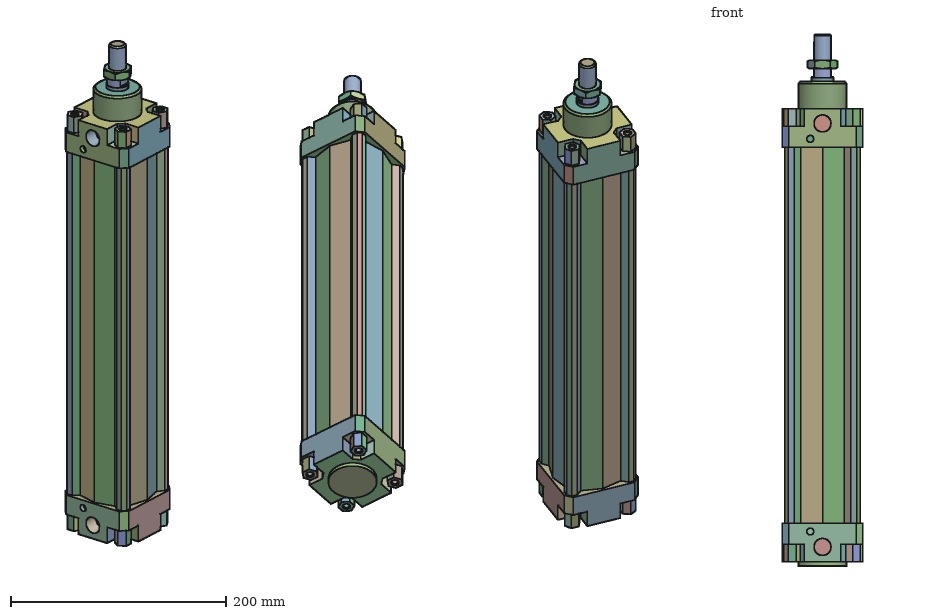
import cadquery as cq
import math

spigot_length = 4.0
cap_length = 36.0
tube_length = 349.0
collar_length = 25.0
rod_reach = 37.0
thread_length = 32.0

cap_width = 75.0
cap_chamfer = 6.5
collar_diameter = 45.0
collar_chamfer = 2.0
lip_diameter = 20.7
lip_height = 3.5

tube_half_width = 35.0
tube_chamfer = 3.5
groove_depth = 5.0
groove_bottom = 20.5
groove_rim = 26.0

notch_depth = 16.5
notch_inner = 17.0
notch_chamfer = 5.5
tie_offset = 28.0
tie_nut_flats = 13.5
tie_hole_diameter = 5.5
tie_sink_diameter = 7.5
tie_sink_angle = 90
tie_hole_depth = 10.0

port_diameter = 16.0
port_inset = 14.0
port_depth = 15.0
screw_diameter = 6.5
screw_inset = 28.0
screw_offset = 11.5
screw_depth = 5.0

rod_diameter = 20.0
rod_flats = 16.0
rod_flats_length = 7.5
thread_diameter = 16.0
thread_chamfer = 1.5
nut_flats = 24.0
nut_height = 8.0
nut_chamfer_angle = 30

tube_bottom = spigot_length + cap_length
tube_top = tube_bottom + tube_length
front_face = tube_top + cap_length
collar_top = front_face + collar_length
lip_top = collar_top + lip_height
shoulder = front_face + rod_reach
rod_bottom = tube_top


def hexagon_corners(flats):
    """Diameter across the corners of a hexagon, from its width across flats."""
    return flats / math.cos(math.radians(30))


def disc(diameter, bottom, height):
    """Round solid on the cylinder axis."""
    return cq.Workplane("XY").workplane(offset=bottom).circle(diameter / 2).extrude(height)


def tube():
    """Tube with a shallow V ridge in the middle of each side and a rib at each corner."""
    h = tube_half_width
    side = [
        (0, -h),
        (groove_bottom, -h + groove_depth),
        (groove_rim, -h),
        (h - tube_chamfer, -h),
        (h, -h + tube_chamfer),
        (h, -groove_rim),
        (h - groove_depth, -groove_bottom),
    ]
    points = []
    for _ in range(4):
        points += side
        side = [(-y, x) for x, y in side]
    return cq.Workplane("XY").workplane(offset=tube_bottom).polyline(points).close().extrude(tube_length)


def notch():
    """Corner notch of the front cap at +X +Y, open to the outside."""
    size = cap_width / 2 - notch_inner
    centre = notch_inner + size / 2
    return (
        cq.Workplane("XY")
        .workplane(offset=front_face - notch_depth)
        .center(centre, centre)
        .rect(size, size)
        .extrude(notch_depth)
        .edges("|Z and <X and <Y")
        .chamfer(notch_chamfer)
    )


def tie_nut():
    """Hexagonal nut with a countersunk blind hole, standing in the notch at +X +Y."""
    return (
        cq.Workplane("XY")
        .workplane(offset=front_face - notch_depth)
        .center(tie_offset, tie_offset)
        .polygon(6, hexagon_corners(tie_nut_flats))
        .extrude(notch_depth)
        .faces(">Z")
        .workplane()
        .cskHole(tie_hole_diameter, tie_sink_diameter, tie_sink_angle, tie_hole_depth)
    )


def side_hole(x, inset, diameter, depth):
    """Blind hole into the -Y side of the front cap."""
    return (
        cq.Workplane("XZ", origin=(0, -cap_width / 2, 0))
        .center(x, front_face - inset)
        .circle(diameter / 2)
        .extrude(-depth)
    )


def front_cap():
    """Chamfered square cap with notches, tie-rod nuts, an air port and a screw hole."""
    cap = (
        cq.Workplane("XY")
        .workplane(offset=tube_top)
        .rect(cap_width, cap_width)
        .extrude(cap_length)
        .edges("|Z")
        .chamfer(cap_chamfer)
    )
    for turn in range(4):
        angle = 90 * turn
        cap = cap.cut(notch().rotate((0, 0, 0), (0, 0, 1), angle))
        cap = cap.union(tie_nut().rotate((0, 0, 0), (0, 0, 1), angle))
    cap = cap.cut(side_hole(0, port_inset, port_diameter, port_depth))
    return cap.cut(side_hole(-screw_offset, screw_inset, screw_diameter, screw_depth))


def make_housing():
    """Tube, two mirrored caps, the front collar and lip with the rod bore, and the rear spigot."""
    middle = (tube_bottom + tube_top) / 2
    cap = front_cap()
    collar = disc(collar_diameter, front_face, collar_length).faces(">Z").chamfer(collar_chamfer)
    lip = disc(lip_diameter, collar_top, lip_height)
    spigot = disc(collar_diameter, 0, spigot_length)
    body = tube().union(cap).union(cap.mirror("XY", (0, 0, middle))).union(collar).union(spigot)
    return body.union(lip).cut(disc(rod_diameter, rod_bottom, lip_top - rod_bottom))


def make_rod():
    """Round rod with two wrench flats below the thread shoulder and a plain threaded end."""
    flats_bottom = shoulder - rod_flats_length
    round_part = disc(rod_diameter, rod_bottom, flats_bottom - rod_bottom)
    flat_part = disc(rod_diameter, flats_bottom, rod_flats_length).intersect(
        cq.Workplane("XY")
        .workplane(offset=flats_bottom)
        .rect(rod_flats, rod_diameter)
        .extrude(rod_flats_length)
    )
    thread = disc(thread_diameter, shoulder, thread_length).faces(">Z").chamfer(thread_chamfer)
    return round_part.union(flat_part).union(thread)


def make_nut():
    """Hexagonal lock nut against the shoulder, its corners bevelled at both ends."""
    corner_radius = hexagon_corners(nut_flats) / 2
    face_radius = nut_flats / 2
    bevel = (corner_radius - face_radius) * math.tan(math.radians(nut_chamfer_angle))
    top = shoulder + nut_height
    hexagon = (
        cq.Workplane("XY").workplane(offset=shoulder).polygon(6, 2 * corner_radius).extrude(nut_height)
    )
    envelope = (
        cq.Workplane("XZ")
        .polyline([
            (0, shoulder),
            (face_radius, shoulder),
            (corner_radius, shoulder + bevel),
            (corner_radius, top - bevel),
            (face_radius, top),
            (0, top),
        ])
        .close()
        .revolve(360, (0, 0, 0), (0, 1, 0))
    )
    return hexagon.intersect(envelope).cut(disc(thread_diameter, shoulder, nut_height))


housing = make_housing().solids()
rod = make_rod().solids()
nut = make_nut().solids()

result = cq.Compound.makeCompound([housing.val(), rod.val(), nut.val()])